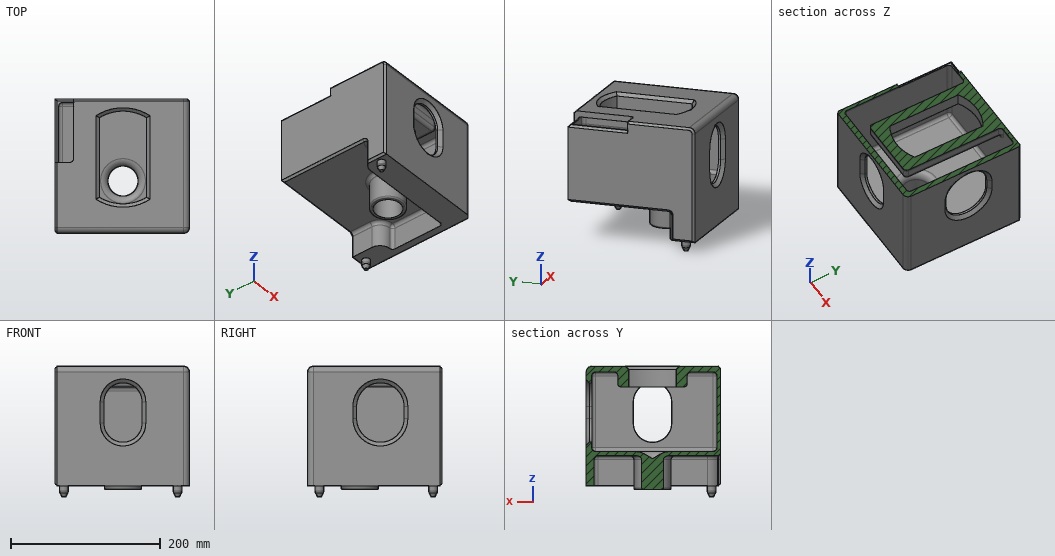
import cadquery as cq
import math

SIZE = 180.0
HEIGHT = 160.0
EDGE_ROUND = 8.0
EDGE_CHAMFER = 3.0
PAST = 10.0
TOL = 0.01

THIN_WALL = 5.0
THICK_WALL = 8.0
ROOF = 8.0
FLOOR_TOP = 46.0
INNER_ROUND = 5.0

CENTRE_X = 91.0
OPENING_CHAMFER = 5.0
RIM_SLOPE = 45.0
TOP_CENTRE_Y = 101.5
TOP_DIAMETER = 124.0
TOP_WIDTH = 63.5
TOP_CHAMFER = 4.5
APERTURE_Z = 98.0
APERTURE_HEIGHT = 79.5
FRONT_WIDTH = 51.0
SIDE_WIDTH = 63.5
SIDE_CENTRE_Y = 97.5

PAD_BOTTOM = 132.0
PAD_MARGIN = 15.0

SLOT_DEPTH_X = 25.0
SLOT_START_Y = 95.0
LEDGE_Z = 147.0
SLOT_CORNER = 5.0

RECESS_CEILING = 40.0
RECESS_START_Y = 33.0
RECESS_LIP_X = 4.0
RECESS_WALL_Y = 39.5
RECESS_END_X = 169.0
POST_FACE_X = 147.0
POST_FACE_Y = 127.0
POST_ROUND = RECESS_END_X - POST_FACE_X - INNER_ROUND

BOSS_Y = 70.0
BOSS_RADIUS = 25.0
BOSS_BOTTOM = -5.0
BOSS_EDGE_ROUND = 2.0
BORE_RADIUS = 20.0
BORE_MOUTH_ROUND = 10.0

PIN_POSITIONS = [(12.0, 16.0), (164.0, 168.0)]
PIN_RADIUS = 6.0
PIN_LENGTH = 15.0
PIN_SHANK = 7.0
PIN_SHOULDER = 9.5
PIN_SHOULDER_RADIUS = 5.5
PIN_TIP_RADIUS = 2.5


def box(x0, x1, y0, y1, z0, z1):
    """Axis-aligned box between two opposite corners."""
    return cq.Workplane("XY").box(x1 - x0, y1 - y0, z1 - z0, centered=False).translate((x0, y0, z0))


def arc_point(centre_x, centre_y, radius, angle):
    """Point on a circle at an angle given in degrees."""
    turn = math.radians(angle)
    return centre_x + radius * math.cos(turn), centre_y + radius * math.sin(turn)


def make_recess():
    """Underside recess with a rounded lip at -X and a rounded post at its +X +Y corner."""
    far = SIZE + PAST
    post_x = POST_FACE_X + POST_ROUND
    post_y = POST_FACE_Y + POST_ROUND
    fillet_y = POST_FACE_Y - INNER_ROUND
    corner_x = RECESS_END_X - INNER_ROUND
    corner_y = RECESS_WALL_Y + INNER_ROUND
    lip_y = RECESS_WALL_Y - POST_ROUND
    lip_angle = 180 - math.degrees(math.asin((RECESS_START_Y - lip_y) / POST_ROUND))
    lip_x = RECESS_LIP_X - POST_ROUND * math.cos(math.radians(lip_angle))
    outline = (
        cq.Workplane("XY", origin=(0, 0, -PAST))
        .moveTo(-PAST, RECESS_START_Y)
        .lineTo(RECESS_LIP_X, RECESS_START_Y)
        .threePointArc(arc_point(lip_x, lip_y, POST_ROUND, (lip_angle + 90) / 2), (lip_x, RECESS_WALL_Y))
        .lineTo(corner_x, RECESS_WALL_Y)
        .threePointArc(arc_point(corner_x, corner_y, INNER_ROUND, -45), (RECESS_END_X, corner_y))
        .lineTo(RECESS_END_X, fillet_y)
        .threePointArc(arc_point(corner_x, fillet_y, INNER_ROUND, 45), (corner_x, POST_FACE_Y))
        .threePointArc(arc_point(post_x, post_y, POST_ROUND, 225), (POST_FACE_X, post_y))
        .lineTo(POST_FACE_X, far)
        .lineTo(-PAST, far)
        .close()
    )
    recess = outline.extrude(RECESS_CEILING + PAST)
    ceiling_edges = recess.faces(">Z").edges("not(<X or >Y)")
    return ceiling_edges.fillet(INNER_ROUND - TOL)


def make_shell():
    """Outer block with its rounded edges, recess and chamfered -X and +Y faces."""
    block = box(0, SIZE, 0, SIZE, 0, HEIGHT)
    block = block.edges("(>Z and <Y) or (>Z and >X) or (>X and <Y)").fillet(EDGE_ROUND)
    block = block.cut(make_recess())
    return block.faces("<X or >Y").edges("not(<X and >Y)").chamfer(EDGE_CHAMFER)


def make_pad():
    """Thick roof pad that surrounds the top opening and joins the +Y wall."""
    half_x = TOP_WIDTH / 2 + PAD_MARGIN
    start_y = TOP_CENTRE_Y - TOP_DIAMETER / 2 - PAD_MARGIN
    return box(CENTRE_X - half_x, CENTRE_X + half_x, start_y, SIZE, PAD_BOTTOM, HEIGHT)


def make_cavity():
    """Hollow interior around the roof pad, with every edge rounded."""
    hollow = box(THIN_WALL, SIZE - THICK_WALL, THICK_WALL, SIZE - THIN_WALL, FLOOR_TOP, HEIGHT - ROOF)
    return hollow.cut(make_pad()).edges().fillet(INNER_ROUND)


def make_top_opening():
    """Circle trimmed by two parallel sides, with a chamfered rim."""
    depth = HEIGHT - PAD_BOTTOM + INNER_ROUND

    def trimmed_disc(inset, height):
        disc = cq.Workplane("XY").circle(TOP_DIAMETER / 2 + inset).extrude(height)
        strip = cq.Workplane("XY").rect(TOP_WIDTH + 2 * inset, 2 * TOP_DIAMETER).extrude(height)
        return disc.intersect(strip)

    throat = trimmed_disc(0, depth).translate((0, 0, -depth))
    rim = trimmed_disc(TOP_CHAMFER, TOP_CHAMFER).faces("<Z").edges().chamfer(TOP_CHAMFER - TOL)
    opening = throat.union(rim.translate((0, 0, -TOP_CHAMFER)))
    return opening.translate((CENTRE_X, TOP_CENTRE_Y, HEIGHT))


def make_aperture(plane, width, depth):
    """Upright slot with round ends and a chamfered rim, sunk from an outer face."""
    throat = plane.slot2D(APERTURE_HEIGHT, width, 90).extrude(-depth)
    growth = 2 * OPENING_CHAMFER
    rim = plane.slot2D(APERTURE_HEIGHT + growth, width + growth, 90)
    rim = rim.extrude(-OPENING_CHAMFER, taper=RIM_SLOPE)
    return throat.union(rim)


def make_slot():
    """Corner slot through the roof over the -X wall, leaving a chamfered ledge."""
    far = SIZE + PAST
    slot = box(-PAST, SLOT_DEPTH_X, SLOT_START_Y, far, LEDGE_Z, HEIGHT + PAST)
    slot = slot.edges("|Z and >X and <Y").fillet(SLOT_CORNER)
    low = LEDGE_Z - EDGE_CHAMFER
    side_bevel = (
        cq.Workplane("XZ", origin=(0, SLOT_START_Y, 0))
        .polyline([(0, low), (EDGE_CHAMFER, LEDGE_Z), (-PAST, LEDGE_Z), (-PAST, low)])
        .close()
        .extrude(-(far - SLOT_START_Y))
    )
    back_bevel = (
        cq.Workplane("YZ")
        .polyline([(SIZE, low), (SIZE - EDGE_CHAMFER, LEDGE_Z), (far, LEDGE_Z), (far, low)])
        .close()
        .extrude(SLOT_DEPTH_X)
    )
    return slot.union(side_bevel).union(back_bevel)


def make_boss():
    """Round boss hanging from the recess ceiling, with a flared root."""
    flare_z = RECESS_CEILING - INNER_ROUND
    flare_radius = BOSS_RADIUS + INNER_ROUND
    profile = (
        cq.Workplane("XZ")
        .moveTo(0, BOSS_BOTTOM)
        .lineTo(BOSS_RADIUS - BOSS_EDGE_ROUND, BOSS_BOTTOM)
        .radiusArc((BOSS_RADIUS, BOSS_BOTTOM + BOSS_EDGE_ROUND), -BOSS_EDGE_ROUND)
        .lineTo(BOSS_RADIUS, flare_z)
        .radiusArc((flare_radius, RECESS_CEILING), INNER_ROUND)
        .lineTo(flare_radius, FLOOR_TOP)
        .lineTo(0, FLOOR_TOP)
        .close()
    )
    return profile.revolve().translate((CENTRE_X, BOSS_Y, 0))


def make_bore():
    """Through bore with a rounded mouth at the cavity floor."""
    profile = (
        cq.Workplane("XZ")
        .moveTo(0, BOSS_BOTTOM - PAST)
        .lineTo(BORE_RADIUS, BOSS_BOTTOM - PAST)
        .lineTo(BORE_RADIUS, FLOOR_TOP - BORE_MOUTH_ROUND)
        .radiusArc((BORE_RADIUS + BORE_MOUTH_ROUND, FLOOR_TOP), BORE_MOUTH_ROUND)
        .lineTo(0, FLOOR_TOP)
        .close()
    )
    return profile.revolve().translate((CENTRE_X, BOSS_Y, 0))


def make_pin():
    """Locating pin with a shouldered, tapered tip, rooted inside the block."""
    profile = [
        (0, EDGE_CHAMFER),
        (PIN_RADIUS, EDGE_CHAMFER),
        (PIN_RADIUS, -PIN_SHANK),
        (PIN_SHOULDER_RADIUS, -PIN_SHOULDER),
        (PIN_TIP_RADIUS, -PIN_LENGTH),
        (0, -PIN_LENGTH),
    ]
    return cq.Workplane("XZ").polyline(profile).close().revolve()


front_plane = cq.Workplane("XZ", origin=(CENTRE_X, 0, APERTURE_Z))
side_plane = cq.Workplane("YZ", origin=(SIZE, SIDE_CENTRE_Y, APERTURE_Z))

part = make_shell().union(make_boss())
part = part.cut(make_cavity())
part = part.cut(make_bore())
part = part.cut(make_top_opening())
part = part.cut(make_aperture(front_plane, FRONT_WIDTH, THICK_WALL + PAST))
part = part.cut(make_aperture(side_plane, SIDE_WIDTH, THICK_WALL + PAST))
part = part.cut(make_slot())
for pin_x, pin_y in PIN_POSITIONS:
    part = part.union(make_pin().translate((pin_x, pin_y, 0)))

result = part